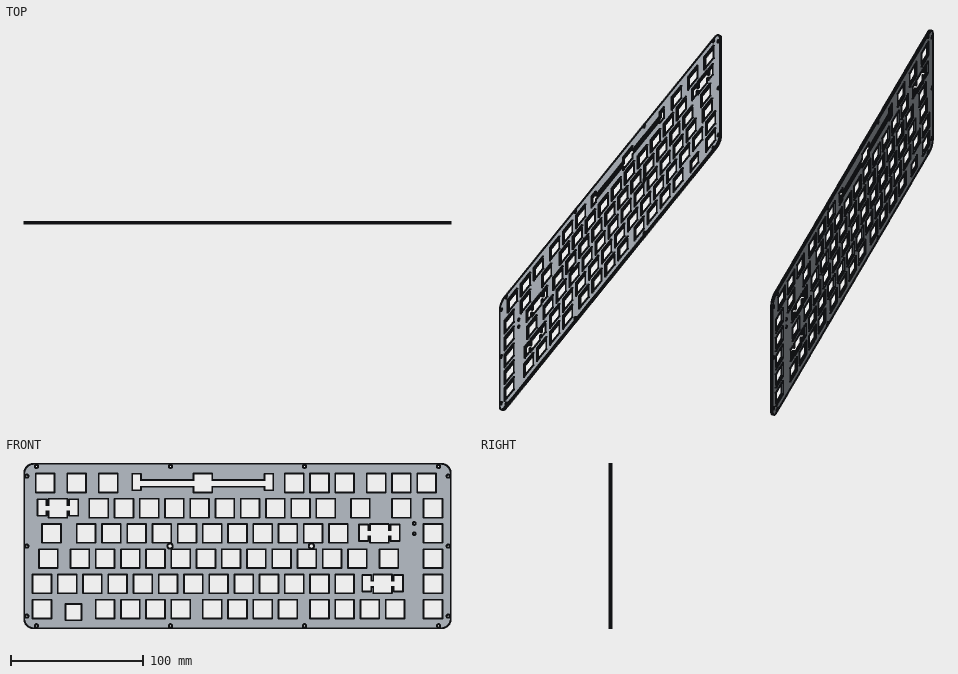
import cadquery as cq

PLATE_WIDTH = 322.3
PLATE_HEIGHT = 124.5
PLATE_THICKNESS = 1.5
CORNER_RADIUS = 7.5

COLUMN_SPAN = 15.5
GRID_WIDTH = 295.2
PITCH = GRID_WIDTH / COLUMN_SPAN
ROW_COUNT = 6
GRID_LEFT = -GRID_WIDTH / 2
GRID_BOTTOM = -(ROW_COUNT - 1) * PITCH / 2
KEY_MARGIN = 2.5
KEY_SIZE = PITCH - 2 * KEY_MARGIN


def key_run(first_column, count):
    """Columns of neighbouring keys spaced one pitch apart."""
    return [first_column + step for step in range(count)]


KEY_ROWS = [
    [0] + key_run(2.5, 4) + key_run(6.75, 4) + key_run(11, 4) + [COLUMN_SPAN],
    key_run(0, 13) + [COLUMN_SPAN],
    [0.25] + key_run(1.5, 12) + [13.75, COLUMN_SPAN],
    [0.375] + key_run(1.75, 11) + [COLUMN_SPAN],
    key_run(2.25, 10) + [12.625, 14.25, COLUMN_SPAN],
    [0.125, 1.375, 2.625] + key_run(10, 3) + key_run(13.25, 3),
]

WIDE_KEYS = [(13.5, 1), (13.375, 3), (0.625, 4)]
WIDE_KEY_SLOT_OFFSET = 12.0
WIDE_KEY_SLOT_WIDTH = 6.8
WIDE_KEY_SLOT_HEIGHT = 12.2
WIDE_KEY_SLOT_RAISE = 0.48
WIDE_KEY_CHANNEL_HEIGHT = 4.5
WIDE_KEY_CHANNEL_RAISE = 0

SPACE_BAR = (6.375, ROW_COUNT - 1)
SPACE_BAR_SLOT_OFFSET = 50.0
SPACE_BAR_SLOT_WIDTH = 6.5
SPACE_BAR_SLOT_HEIGHT = 12.2
SPACE_BAR_SLOT_RAISE = 0.77
SPACE_BAR_CHANNEL_HEIGHT = 4.8
SPACE_BAR_CHANNEL_RAISE = -0.3

SMALL_SQUARE_SIZE = 12.0
SMALL_SQUARE_COLUMN = 1.25
SMALL_SQUARE_DROP = 2.3

SCREW_DIAMETER = 2.4
SCREW_MARGIN = 2.0
CORNER_SCREW_INSET = 9.5
INNER_SCREW_X = 50.5
CENTRE_HOLE_DIAMETER = 4.0
CENTRE_HOLES_X = [-51.0, 55.8]
SMALL_HOLE_DIAMETER = 2.0
SMALL_HOLE_X = 133.5
SMALL_HOLE_HEIGHTS = [9.5, 17.0]


def grid_point(column, row):
    """Plate coordinates of a key centre."""
    return GRID_LEFT + column * PITCH, GRID_BOTTOM + row * PITCH


def plate_sketch():
    """Sketch plane through the middle of the sheet: local x is X, local y is Z."""
    return cq.Workplane("XZ")


def through(sketch):
    """Extrude a sketch equally both ways, well past both faces of the sheet."""
    return sketch.extrude(PLATE_THICKNESS, both=True)


def rectangles(points, width, height):
    return through(plate_sketch().pushPoints(points).rect(width, height))


def holes(points, diameter):
    return through(plate_sketch().pushPoints(points).circle(diameter / 2))


def stabilised_key(
    place, slot_offset, slot_width, slot_height, slot_raise, channel_height, channel_raise
):
    """Key cutout, two side slots and the channel that joins them."""
    x, z = grid_point(*place)
    slot_points = [(x + side * slot_offset, z + slot_raise) for side in (-1, 1)]
    key = rectangles([(x, z)], KEY_SIZE, KEY_SIZE)
    slots = rectangles(slot_points, slot_width, slot_height)
    channel = rectangles([(x, z + channel_raise)], 2 * slot_offset, channel_height)
    return key.union(slots).union(channel)


def screw_points():
    """Screw holes close to the rim, mirrored left-right and top-bottom."""
    edge_x = PLATE_WIDTH / 2 - SCREW_MARGIN
    edge_z = PLATE_HEIGHT / 2 - SCREW_MARGIN
    corner_x = PLATE_WIDTH / 2 - CORNER_SCREW_INSET
    corner_z = PLATE_HEIGHT / 2 - CORNER_SCREW_INSET
    points = []
    for side in (-1, 1):
        points.append((side * edge_x, 0))
        for end in (-1, 1):
            points.append((side * corner_x, end * edge_z))
            points.append((side * INNER_SCREW_X, end * edge_z))
            points.append((side * edge_x, end * corner_z))
    return points


plate = (
    plate_sketch()
    .rect(PLATE_WIDTH, PLATE_HEIGHT)
    .extrude(PLATE_THICKNESS / 2, both=True)
    .edges("|Y")
    .fillet(CORNER_RADIUS)
)

key_points = [grid_point(column, row) for row, columns in enumerate(KEY_ROWS) for column in columns]
plate = plate.cut(rectangles(key_points, KEY_SIZE, KEY_SIZE))

for wide_key in WIDE_KEYS:
    plate = plate.cut(
        stabilised_key(
            wide_key,
            WIDE_KEY_SLOT_OFFSET,
            WIDE_KEY_SLOT_WIDTH,
            WIDE_KEY_SLOT_HEIGHT,
            WIDE_KEY_SLOT_RAISE,
            WIDE_KEY_CHANNEL_HEIGHT,
            WIDE_KEY_CHANNEL_RAISE,
        )
    )
plate = plate.cut(
    stabilised_key(
        SPACE_BAR,
        SPACE_BAR_SLOT_OFFSET,
        SPACE_BAR_SLOT_WIDTH,
        SPACE_BAR_SLOT_HEIGHT,
        SPACE_BAR_SLOT_RAISE,
        SPACE_BAR_CHANNEL_HEIGHT,
        SPACE_BAR_CHANNEL_RAISE,
    )
)

square_x, square_z = grid_point(SMALL_SQUARE_COLUMN, 0)
square_points = [(square_x, square_z - SMALL_SQUARE_DROP)]
plate = plate.cut(rectangles(square_points, SMALL_SQUARE_SIZE, SMALL_SQUARE_SIZE))

plate = plate.cut(holes(screw_points(), SCREW_DIAMETER))
centre_hole_points = [(x, 0) for x in CENTRE_HOLES_X]
plate = plate.cut(holes(centre_hole_points, CENTRE_HOLE_DIAMETER))
small_hole_points = [(SMALL_HOLE_X, height) for height in SMALL_HOLE_HEIGHTS]
plate = plate.cut(holes(small_hole_points, SMALL_HOLE_DIAMETER))

result = plate